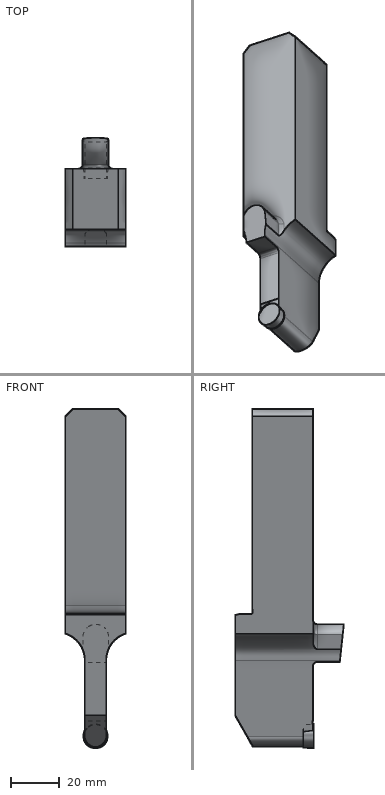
import cadquery as cq
import math


total_height = 139.0
body_width = 24.9
back_y = -0.3
shank_depth = 25.3
head_depth = 32.2
top_chamfer = 3.0

shoulder_z = 55.0
shoulder_bevel_depth = 1.7
shoulder_bevel_drop = 0.4
relief_top_z = 58.7
relief_depth = 0.21
shoulder_fillet = 0.5

blade_radius = 4.5
tip_center_z = 5.0
neck_bottom_z = 36.1
neck_top_z = 47.0
nose_slant_top_z = 13.5
nose_slant_depth = 7.4

boss_radius = 5.3
boss_top_half_width = 5.1
boss_bottom_half_width = 5.5
boss_top_z = 50.9
boss_bottom_z = 35.3
boss_top_length = 12.4
boss_bottom_length = 10.7
boss_fillet = 1.7
boss_root_depth = 7.0
boss_root_margin = 7.0

insert_thickness = 4.3
insert_back_radius = tip_center_z
insert_front_radius = 4.8
recess_depth = 0.4
recess_top_z = 11.3

half_width = body_width / 2
blade_bottom_z = tip_center_z - blade_radius

neck_run = half_width - blade_radius
neck_rise = neck_top_z - neck_bottom_z
neck_radius = (neck_run**2 + neck_rise**2) / (2 * neck_run)
neck_mid_angle = math.asin(neck_rise / neck_radius) / 2
neck_mid_x = blade_radius + neck_radius * (1 - math.cos(neck_mid_angle))
neck_mid_z = neck_bottom_z + neck_radius * math.sin(neck_mid_angle)


def front_prism():
    """Front outline, extruded through the head and the boss."""
    return (
        cq.Workplane("XZ", origin=(0, boss_top_length, 0))
        .moveTo(-blade_radius, tip_center_z)
        .threePointArc((0, blade_bottom_z), (blade_radius, tip_center_z))
        .lineTo(blade_radius, neck_bottom_z)
        .threePointArc((neck_mid_x, neck_mid_z), (half_width, neck_top_z))
        .lineTo(half_width, total_height - top_chamfer)
        .lineTo(half_width - top_chamfer, total_height)
        .lineTo(top_chamfer - half_width, total_height)
        .lineTo(-half_width, total_height - top_chamfer)
        .lineTo(-half_width, neck_top_z)
        .threePointArc((-neck_mid_x, neck_mid_z), (-blade_radius, neck_bottom_z))
        .close()
        .extrude(boss_top_length + head_depth)
    )


def shank_and_blade():
    """Side outline with the shoulder, the shank relief and the slanted nose."""
    slab = (
        cq.Workplane("YZ", origin=(-half_width, 0, 0))
        .polyline([
            (back_y, blade_bottom_z),
            (back_y, total_height),
            (-shank_depth, total_height),
            (-shank_depth, relief_top_z),
            (relief_depth - shank_depth, shoulder_z),
            (shoulder_bevel_depth - head_depth, shoulder_z),
            (-head_depth, shoulder_z - shoulder_bevel_drop),
            (-head_depth, nose_slant_top_z),
            (nose_slant_depth - head_depth, blade_bottom_z),
        ])
        .close()
        .extrude(body_width)
    )
    inner_corner = cq.selectors.NearestToPointSelector((0, relief_depth - shank_depth, shoulder_z))
    return slab.edges("|X").edges(inner_corner).fillet(shoulder_fillet)


def boss_blank():
    """Round-topped boss with tapered sides and a sloping end."""
    center_z = boss_top_z - boss_radius
    side_top_z = center_z + math.sqrt(boss_radius**2 - boss_top_half_width**2)
    bar = (
        cq.Workplane("XZ", origin=(0, back_y, 0))
        .moveTo(-boss_bottom_half_width, boss_bottom_z)
        .lineTo(-boss_top_half_width, side_top_z)
        .threePointArc((0, boss_top_z), (boss_top_half_width, side_top_z))
        .lineTo(boss_bottom_half_width, boss_bottom_z)
        .close()
        .extrude(back_y - boss_top_length)
    )
    side = (
        cq.Workplane("YZ", origin=(-half_width, 0, 0))
        .polyline([
            (back_y, boss_bottom_z),
            (boss_bottom_length, boss_bottom_z),
            (boss_top_length, boss_top_z),
            (back_y, boss_top_z),
        ])
        .close()
        .extrude(body_width)
    )
    return bar.intersect(side)


def boss_root_edges(body):
    """Edges in the back plane that bound the boss."""
    reach_x = boss_bottom_half_width + boss_fillet
    box = cq.selectors.BoxSelector(
        (-reach_x, back_y - boss_fillet / 2, boss_bottom_z - boss_fillet),
        (reach_x, back_y + boss_fillet / 2, boss_top_z + boss_fillet),
        boundingbox=True,
    )
    return body.edges(box)


def filleted_boss():
    """Boss joined by a fillet to a root block that lies inside the head and the blade."""
    root_bottom_z = boss_bottom_z - boss_root_margin
    root_height = boss_top_z + boss_root_margin - root_bottom_z
    root = (
        cq.Workplane("XY", origin=(0, back_y - boss_root_depth, root_bottom_z))
        .box(body_width, boss_root_depth, root_height, centered=(True, False, False))
    )
    boss = root.union(boss_blank())
    return boss_root_edges(boss).fillet(boss_fillet)


def make_holder(insert):
    body = shank_and_blade().union(filleted_boss()).intersect(front_prism())
    recess = (
        cq.Workplane("XY", origin=(0, -recess_depth, tip_center_z))
        .box(body_width, recess_depth, recess_top_z - tip_center_z, centered=(True, False, False))
    )
    return body.cut(recess).cut(insert)


def make_insert():
    """Round tapered insert, widest at its outer face."""
    return cq.Workplane(cq.Solid.makeCone(
        insert_back_radius,
        insert_front_radius,
        insert_thickness,
        cq.Vector(0, 0, tip_center_z),
        cq.Vector(0, -1, 0),
    ))


insert = make_insert()
holder = make_holder(insert)
result = cq.Compound.makeCompound([holder.solids().val(), insert.val()])